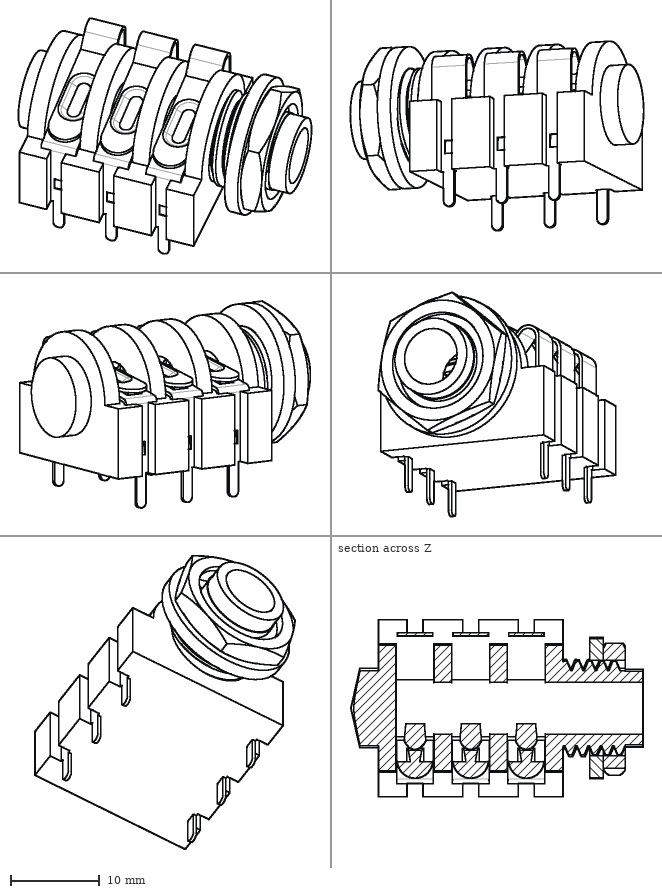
import cadquery as cq
import math


BLOCK_LENGTH = 20.85
BLOCK_WIDTH = 20.0
BLOCK_HEIGHT = 8.05
FLANGE_RADIUS = 7.25
FLANGE_THICKNESS = 2.0
BAY_COUNT = 3
BAY_PITCH = (BLOCK_LENGTH - FLANGE_THICKNESS) / BAY_COUNT
BAY_WIDTH = BAY_PITCH - FLANGE_THICKNESS
BAY_CENTERS = [FLANGE_THICKNESS + BAY_WIDTH / 2 + BAY_PITCH * i for i in range(BAY_COUNT)]

CAP_RADIUS = 9.0 / 2
CAP_LENGTH = 2.08
CAP_CONE_HEIGHT = 1.02

WASHER_START = 23.85
WASHER_THICKNESS = 1.55
WASHER_RADIUS = 16.0 / 2
CLEARANCE_RADIUS = 11.1 / 2
NUT_START = WASHER_START + WASHER_THICKNESS
NUT_THICKNESS = 2.48
NUT_CORNER_RADIUS = 8.02
NUT_TURN = 19.2
NUT_CHAMFER = 0.6

THREAD_ROOT_RADIUS = 9.0 / 2
THREAD_RADIUS = 11.0 / 2
THREAD_PITCH = 1.4
THREAD_CREST = 0.4
THREAD_BASE = 1.32
THREAD_OVERLAP = 0.05
THREAD_START = 20.0
THREAD_END = NUT_START + NUT_THICKNESS
NOSE_RADIUS = 8.8 / 2
NOSE_END = 33.0 - CAP_LENGTH - CAP_CONE_HEIGHT
BORE_RADIUS = 6.45 / 2

METAL = 0.4
PIN_FACE = 8.5
PIN_WIDTH = 1.25
PIN_LENGTH = 3.95
NOTCH_WIDTH = 1.78
EMBED = 0.33

WINDOW_WIDTH = 1.0
WINDOW_TOP = -4.45
WINDOW_HEIGHT = 1.5
WINDOW_TOP_DEPTH = 0.33
WINDOW_BOTTOM_DEPTH = 0.1

SPRING_WIDTH = 4.03
CURL_RADIUS = 1.42
CURL_Z = 4.05
KINK_Y = 4.7
KINK_Z = 3.3
KINK_SLOPE = 51.0
TIP_Y = -7.92
TONGUE_SLOPE = 8.0

DIMPLE_Y = -1.7
DIMPLE_STRAIGHT = 3.43
DIMPLE_RIM_WIDTH = 3.5
DIMPLE_NECK_WIDTH = 2.87
DIMPLE_FLOOR_WIDTH = 1.5
DIMPLE_RIM_DEPTH = 0.13
DIMPLE_DEPTH = 0.6
DIMPLE_BACK_WIDTH = 2.15

BLADE_WIDTH = 4.15
BLADE_BEND_RADIUS = 0.65
BLADE_TOP = 0.65
BLADE_SLOPE = 10.0
BLADE_END_Y = -3.63

PAD_WIDTH = 1.9
PAD_LENGTH = 2.65
PAD_FRONT_Y = -7.13
PAD_HEIGHT = 0.43
PAD_SIDE_ANGLE = 45.0


def cylinder(radius, start, end):
    """Cylinder on the X axis between two X positions."""
    return cq.Workplane("YZ").workplane(offset=start).circle(radius).extrude(end - start)


def box(x_size, y_range, z_range, x_center):
    y0, y1 = y_range
    z0, z1 = z_range
    return cq.Workplane("XY").box(x_size, y1 - y0, z1 - z0).translate((x_center, (y0 + y1) / 2, (z0 + z1) / 2))


def polar(center, radius, degrees):
    angle = math.radians(degrees)
    return (center[0] + radius * math.cos(angle), center[1] + radius * math.sin(angle))


def down_slope(point, slope, run):
    """Point reached by going `run` towards -Y down a slope."""
    return (point[0] - run, point[1] - run * math.tan(math.radians(slope)))


def across(outline, width):
    """Extrude an outline in the YZ plane, centred on X = 0."""
    return outline.close().extrude(width / 2, both=True)


def half_turn(part):
    """Copy of a part turned by 180 degrees about Z."""
    return part.rotate((0, 0, 0), (0, 0, 1), 180)


def slope_plane(point, slope):
    """Plane through a point in the YZ plane, facing up from a slope that falls towards -Y."""
    tilt = math.radians(slope)
    return cq.Plane((0, *point), (1, 0, 0), (0, -math.sin(tilt), math.cos(tilt)))


def make_block():
    block = box(BLOCK_LENGTH, (-BLOCK_WIDTH / 2, BLOCK_WIDTH / 2), (-BLOCK_HEIGHT, 0), BLOCK_LENGTH / 2)
    for i in range(BAY_COUNT + 1):
        start = BAY_PITCH * i
        block = block.union(cylinder(FLANGE_RADIUS, start, start + FLANGE_THICKNESS))
    for x in BAY_CENTERS:
        for y_range in ((PIN_FACE, BLOCK_WIDTH), (-BLOCK_WIDTH, -PIN_FACE)):
            block = block.cut(box(NOTCH_WIDTH, y_range, (-BLOCK_HEIGHT, 0), x))
    return block


def make_cap():
    return (
        cq.Workplane("XY")
        .moveTo(EMBED, 0)
        .lineTo(EMBED, CAP_RADIUS)
        .lineTo(-CAP_LENGTH, CAP_RADIUS)
        .lineTo(-CAP_LENGTH - CAP_CONE_HEIGHT, 0)
        .close()
        .revolve(360, (0, 0, 0), (1, 0, 0))
    )


def make_thread():
    """Right-handed ridge, made around Z and then turned onto the X axis."""
    base_radius = THREAD_ROOT_RADIUS - THREAD_OVERLAP
    height = THREAD_END - THREAD_START - THREAD_BASE / 2
    path = cq.Wire.makeHelix(THREAD_PITCH, height, base_radius)
    ridge = (
        cq.Workplane("XZ")
        .moveTo(base_radius, -THREAD_BASE / 2)
        .lineTo(THREAD_RADIUS, -THREAD_CREST / 2)
        .lineTo(THREAD_RADIUS, THREAD_CREST / 2)
        .lineTo(base_radius, THREAD_BASE / 2)
        .close()
        .sweep(cq.Workplane(path), isFrenet=True)
    )
    ridge = ridge.rotate((0, 0, 0), (0, 1, 0), 90).rotate((0, 0, 0), (1, 0, 0), 180)
    return ridge.translate((THREAD_START, 0, 0))


def make_barrel():
    core = cylinder(THREAD_ROOT_RADIUS, BLOCK_LENGTH - EMBED, THREAD_END)
    nose = cylinder(NOSE_RADIUS, THREAD_END, NOSE_END)
    return core.union(make_thread()).union(nose)


def make_pin():
    """Pin at -Y with a rounded end, centred on X = 0."""
    end_radius = PIN_WIDTH / 2
    bottom = -BLOCK_HEIGHT - PIN_LENGTH
    return (
        cq.Workplane("XZ", origin=(0, -PIN_FACE + METAL, 0))
        .moveTo(-end_radius, EMBED - BLOCK_HEIGHT)
        .lineTo(-end_radius, bottom + end_radius)
        .threePointArc((0, bottom), (end_radius, bottom + end_radius))
        .lineTo(end_radius, EMBED - BLOCK_HEIGHT)
        .close()
        .extrude(METAL)
    )


def make_window():
    """Recess with a slanted floor in the pin face at -Y, centred on X = 0."""
    outline = (
        cq.Workplane("YZ")
        .moveTo(-PIN_FACE, WINDOW_TOP)
        .lineTo(WINDOW_TOP_DEPTH - PIN_FACE, WINDOW_TOP)
        .lineTo(WINDOW_BOTTOM_DEPTH - PIN_FACE, WINDOW_TOP - WINDOW_HEIGHT)
        .lineTo(-PIN_FACE, WINDOW_TOP - WINDOW_HEIGHT)
    )
    return across(outline, WINDOW_WIDTH)


def make_strip():
    """Bent strip of the spring contact with a square end."""
    center = (PIN_FACE - CURL_RADIUS, CURL_Z)
    inner = CURL_RADIUS - METAL
    end_angle = 90 + KINK_SLOPE
    kink = (KINK_Y, KINK_Z)
    half_bend = math.radians(KINK_SLOPE - TONGUE_SLOPE) / 2
    kink_below = polar(kink, METAL / math.cos(half_bend), (KINK_SLOPE + TONGUE_SLOPE) / 2 - 90)
    tip = down_slope(kink, TONGUE_SLOPE, KINK_Y - TIP_Y)
    tip_below = down_slope(kink_below, TONGUE_SLOPE, kink_below[0] - TIP_Y)
    outline = (
        cq.Workplane("YZ")
        .moveTo(PIN_FACE, -EMBED)
        .lineTo(*polar(center, CURL_RADIUS, 0))
        .threePointArc(polar(center, CURL_RADIUS, 90), polar(center, CURL_RADIUS, end_angle))
        .lineTo(*kink)
        .lineTo(*tip)
        .lineTo(*tip_below)
        .lineTo(*kink_below)
        .lineTo(*polar(center, inner, end_angle))
        .threePointArc(polar(center, inner, 90), polar(center, inner, 0))
        .lineTo(PIN_FACE - METAL, -EMBED)
    )
    return across(outline, SPRING_WIDTH)


def sunken_slot(top_width, bottom_width, start_depth, end_depth):
    """Tapered slot-shaped solid between two depths below the tongue's top face."""
    depth = end_depth - start_depth
    center = down_slope((KINK_Y, KINK_Z), TONGUE_SLOPE, KINK_Y - DIMPLE_Y)
    taper = math.degrees(math.atan((top_width - bottom_width) / 2 / depth))
    return (
        cq.Workplane(slope_plane(center, TONGUE_SLOPE))
        .workplane(offset=-start_depth)
        .slot2D(DIMPLE_STRAIGHT + top_width, top_width, 90)
        .extrude(-depth, taper=taper)
    )


def make_spring():
    tongue_radius = SPRING_WIDTH / 2
    round_y = TIP_Y + tongue_radius
    z_range = (-EMBED, CURL_Z + CURL_RADIUS)
    plan = box(SPRING_WIDTH, (round_y, PIN_FACE), z_range, 0)
    rounded_end = (
        cq.Workplane("XY", origin=(0, round_y, -EMBED))
        .circle(tongue_radius)
        .extrude(z_range[1] - z_range[0])
    )
    spring = make_strip().intersect(plan.union(rounded_end))
    spring = spring.union(sunken_slot(DIMPLE_RIM_WIDTH, DIMPLE_BACK_WIDTH, 0, DIMPLE_DEPTH + METAL))
    spring = spring.cut(sunken_slot(DIMPLE_RIM_WIDTH, DIMPLE_NECK_WIDTH, 0, DIMPLE_RIM_DEPTH))
    return spring.cut(sunken_slot(DIMPLE_NECK_WIDTH, DIMPLE_FLOOR_WIDTH, DIMPLE_RIM_DEPTH, DIMPLE_DEPTH))


def make_blade():
    center = (BLADE_BEND_RADIUS - PIN_FACE, BLADE_TOP - BLADE_BEND_RADIUS)
    inner = BLADE_BEND_RADIUS - METAL
    top_angle = 90 + BLADE_SLOPE
    mid_angle = (180 + top_angle) / 2
    outer_top = polar(center, BLADE_BEND_RADIUS, top_angle)
    inner_top = polar(center, inner, top_angle)
    outline = (
        cq.Workplane("YZ")
        .moveTo(-PIN_FACE, -EMBED)
        .lineTo(*polar(center, BLADE_BEND_RADIUS, 180))
        .threePointArc(polar(center, BLADE_BEND_RADIUS, mid_angle), outer_top)
        .lineTo(*down_slope(outer_top, BLADE_SLOPE, outer_top[0] - BLADE_END_Y))
        .lineTo(*down_slope(inner_top, BLADE_SLOPE, inner_top[0] - BLADE_END_Y))
        .lineTo(*inner_top)
        .threePointArc(polar(center, inner, mid_angle), polar(center, inner, 180))
        .lineTo(METAL - PIN_FACE, -EMBED)
    )
    pad_center = down_slope(outer_top, BLADE_SLOPE, outer_top[0] - PAD_FRONT_Y - PAD_LENGTH / 2)
    pad = (
        cq.Workplane(slope_plane(pad_center, BLADE_SLOPE))
        .rect(PAD_WIDTH, PAD_LENGTH)
        .extrude(PAD_HEIGHT, taper=PAD_SIDE_ANGLE)
    )
    return across(outline, BLADE_WIDTH).union(pad)


def make_housing():
    housing = make_block().union(make_cap()).union(make_barrel())
    housing = housing.cut(cylinder(BORE_RADIUS, FLANGE_THICKNESS, NOSE_END))
    pin = make_pin()
    window = make_window()
    metal_parts = [make_spring(), make_blade(), pin, half_turn(pin)]
    windows = [window, half_turn(window)]
    for x in BAY_CENTERS:
        for part in metal_parts:
            housing = housing.union(part.translate((x, 0, 0)))
        for recess in windows:
            housing = housing.cut(recess.translate((x, 0, 0)))
    return housing


def make_washer():
    end = WASHER_START + WASHER_THICKNESS
    return cylinder(WASHER_RADIUS, WASHER_START, end).cut(cylinder(CLEARANCE_RADIUS, WASHER_START, end))


def make_nut():
    end = NUT_START + NUT_THICKNESS
    flat_radius = NUT_CORNER_RADIUS * math.cos(math.radians(30))
    hexagon = (
        cq.Workplane("YZ")
        .workplane(offset=NUT_START)
        .polygon(6, 2 * NUT_CORNER_RADIUS)
        .extrude(NUT_THICKNESS)
        .rotate((0, 0, 0), (1, 0, 0), NUT_TURN)
    )
    chamfered_disc = (
        cylinder(NUT_CORNER_RADIUS, NUT_START, end)
        .edges()
        .chamfer(NUT_CHAMFER, NUT_CORNER_RADIUS - flat_radius)
    )
    return hexagon.intersect(chamfered_disc).cut(cylinder(CLEARANCE_RADIUS, NUT_START, end))


housing = make_housing()
washer = make_washer()
nut = make_nut()

result = cq.Compound.makeCompound([housing.val(), washer.val(), nut.val()])